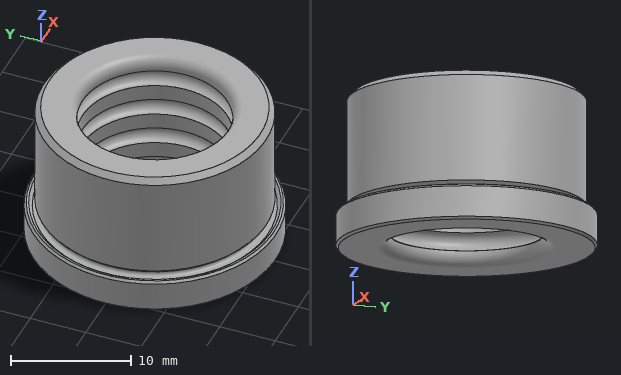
import cadquery as cq
import math

total_height = 13.0
bore_radius = 6.5
bore_lead_in = 1.0

flange_radius = 10.9
flange_height = 3.0
flange_chamfer = 0.2

body_radius = 10.0
body_top_chamfer = 0.5

neck_depth = 0.4
neck_top_z = flange_height + 0.5
recess_depth = 0.3
recess_floor_radius = 10.2
recess_rim_radius = 10.5
neck_fillet = 0.3

groove_width = 1.54
groove_depth = 0.7
groove_pitch = 3.0
groove_count = 4


def make_outer_body():
    """Revolve the solid outer profile about Z, bottom to top."""
    neck_radius = body_radius - neck_depth
    recess_floor_z = flange_height - recess_depth
    arc_offset = neck_fillet * (1 - math.sqrt(0.5))
    return (
        cq.Workplane("XZ")
        .lineTo(flange_radius - flange_chamfer, 0)
        .lineTo(flange_radius, flange_chamfer)
        .lineTo(flange_radius, flange_height - flange_chamfer)
        .lineTo(flange_radius - flange_chamfer, flange_height)
        .lineTo(recess_rim_radius, flange_height)
        .lineTo(recess_floor_radius, recess_floor_z)
        .lineTo(neck_radius + neck_fillet, recess_floor_z)
        .threePointArc(
            (neck_radius + arc_offset, recess_floor_z + arc_offset),
            (neck_radius, recess_floor_z + neck_fillet),
        )
        .lineTo(neck_radius, neck_top_z - neck_depth)
        .lineTo(body_radius, neck_top_z)
        .lineTo(body_radius, total_height - body_top_chamfer)
        .lineTo(body_radius - body_top_chamfer, total_height)
        .lineTo(0, total_height)
        .close()
        .revolve(360, (0, 0, 0), (0, 1, 0))
    )


def cut_bore(body):
    """Cut the through bore and round its two mouths."""
    bore = cq.Workplane("XY").circle(bore_radius).extrude(total_height)
    mouths = cq.selectors.RadiusNthSelector(0)
    return body.cut(bore).faces("<Z or >Z").edges(mouths).fillet(bore_lead_in)


def cut_grooves(body):
    """Cut the arc-shaped ring grooves, evenly spaced about mid-height."""
    half_width = groove_width / 2
    first_z = (total_height - (groove_count - 1) * groove_pitch) / 2
    for index in range(groove_count):
        center_z = first_z + index * groove_pitch
        ring = (
            cq.Workplane("XZ")
            .moveTo(bore_radius, center_z - half_width)
            .threePointArc(
                (bore_radius + groove_depth, center_z),
                (bore_radius, center_z + half_width),
            )
            .close()
            .revolve(360, (0, 0, 0), (0, 1, 0))
        )
        body = body.cut(ring)
    return body


result = cut_grooves(cut_bore(make_outer_body()))